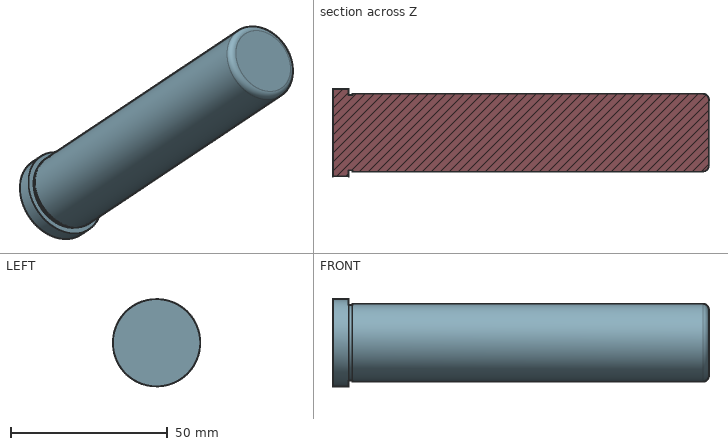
import cadquery as cq

total_length = 120.0
head_diameter = 28.0
head_thickness = 5.0
shank_diameter = 25.0
neck_diameter = 24.2
neck_width = 1.2
tip_round = 2.0

head_start = -total_length / 2
shank_length = total_length - head_thickness - neck_width


def disc(start, length, diameter):
    """Solid cylinder along X, beginning at the given X position."""
    return cq.Workplane("YZ", origin=(start, 0, 0)).circle(diameter / 2).extrude(length)


head = disc(head_start, head_thickness, head_diameter)

neck_start = head_start + head_thickness
neck = disc(neck_start, neck_width, neck_diameter)

shank_start = neck_start + neck_width
shank = disc(shank_start, shank_length, shank_diameter).faces(">X").edges().fillet(tip_round)

result = head.union(neck).union(shank)